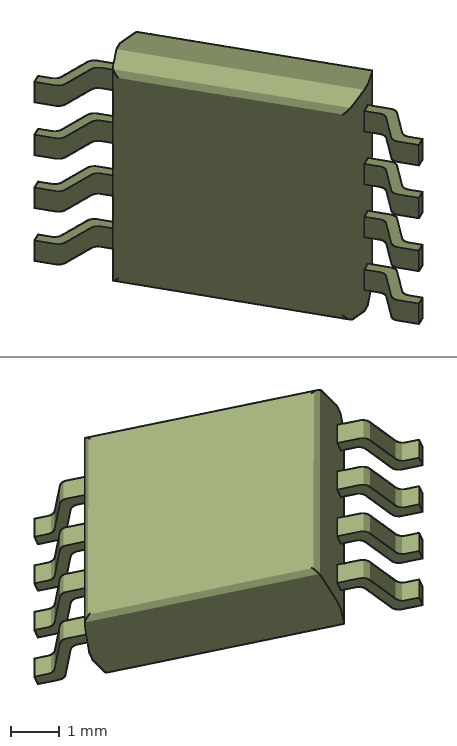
import cadquery as cq
import math

lead_span = 8.26
overall_height = 2.03
body_width = 5.33
body_length = 5.33

standoff = 0.26
draft_angle = 10.0
body_edge_radius = 0.2

leads_per_side = 4
lead_pitch = 1.27
lead_width = 0.495
lead_thickness = 0.25
shoulder_top = 1.18
leg_angle = 65.0
foot_length = 0.58
bend_radius = 0.2
lead_embed = 0.25

shoulder_bottom = shoulder_top - lead_thickness


def body_half(start_height, end_height):
    """Drafted block from the parting band to an outer face, with that face's edges rounded."""
    rise = end_height - start_height
    block = (
        cq.Workplane("XZ", origin=(0, start_height, 0))
        .rect(body_width, body_length)
        .extrude(-rise, taper=draft_angle)
    )
    outer_face = ">Y" if rise > 0 else "<Y"
    return block.faces(outer_face).edges().fillet(body_edge_radius)


def make_body():
    """Straight band as thick as the leads, with a drafted half on each side of it."""
    band = (
        cq.Workplane("XZ", origin=(0, shoulder_bottom, 0))
        .rect(body_width, body_length)
        .extrude(-lead_thickness)
    )
    upper = body_half(shoulder_top, overall_height)
    lower = body_half(shoulder_bottom, standoff)
    return band.union(upper).union(lower)


def make_lead():
    """Left-hand gull-wing lead, centred on Z = 0."""
    tip_x = -lead_span / 2
    root_x = -body_width / 2 + lead_embed
    leg_run = shoulder_bottom / math.tan(math.radians(leg_angle))
    bend_shift = lead_thickness * math.tan(math.radians(leg_angle / 2))
    lower_corner_x = tip_x + foot_length
    upper_corner_x = lower_corner_x + leg_run

    strip = (
        cq.Workplane("XY", origin=(0, 0, -lead_width / 2))
        .moveTo(tip_x, 0)
        .lineTo(lower_corner_x, 0)
        .lineTo(upper_corner_x, shoulder_bottom)
        .lineTo(root_x, shoulder_bottom)
        .lineTo(root_x, shoulder_top)
        .lineTo(upper_corner_x - bend_shift, shoulder_top)
        .lineTo(lower_corner_x - bend_shift, lead_thickness)
        .lineTo(tip_x, lead_thickness)
        .close()
        .extrude(lead_width)
    )
    bend_zone = cq.selectors.BoxSelector(
        (tip_x + lead_thickness / 2, -lead_thickness, -lead_width),
        (-body_width / 2, overall_height, lead_width),
    )
    return strip.edges("|Z").edges(bend_zone).fillet(bend_radius)


result = make_body()
left_lead = make_lead()
right_lead = left_lead.mirror("YZ")
for index in range(leads_per_side):
    lead_z = (index - (leads_per_side - 1) / 2) * lead_pitch
    for lead in (left_lead, right_lead):
        result = result.union(lead.translate((0, 0, lead_z)))